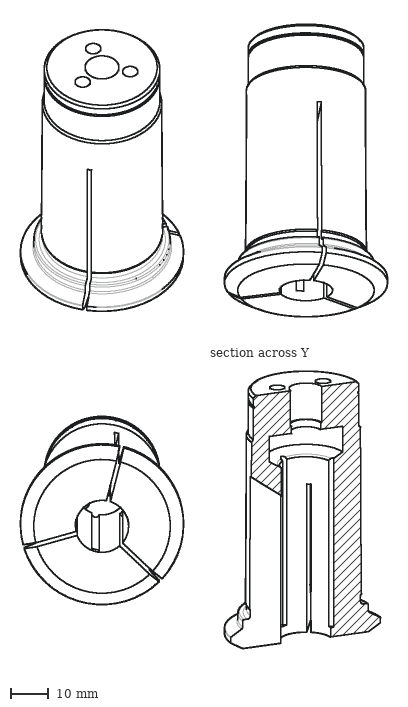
import cadquery as cq
import math

TOTAL_HEIGHT = 70.0
FLANGE_RADIUS = 21.5
COLLAR_RADIUS = 18.0
NECK_RADIUS = 15.8
BODY_BOTTOM_RADIUS = 16.0
BODY_TOP_RADIUS = 15.75
HEAD_RADIUS = 15.25

FLANGE_CONE_ANGLE = math.radians(30)
FLANGE_CONE_HEIGHT = (FLANGE_RADIUS - COLLAR_RADIUS) * math.tan(FLANGE_CONE_ANGLE)
FLANGE_RIM_TOP = 3.6
FLANGE_RIM_FILLET = 0.2
COLLAR_FOOT = FLANGE_RIM_TOP + FLANGE_CONE_HEIGHT
COLLAR_FOOT_FILLET = 0.6
COLLAR_TOP = 8.0
COLLAR_TOP_FILLET = 0.4
NECK_FOOT_FILLET = 0.85

NECK_TOP = 10.35
BODY_BOTTOM = 10.8
SHOULDER_BOTTOM = 57.15
SHOULDER_HEIGHT = 0.7
TOP_CHAMFER = 0.7
GROOVE_HEIGHT = 66.9
GROOVE_DEPTH = 0.3

EDGE_SLACK = 0.01

STOP_HOLE_RADIUS = 8.92 / 2
STOP_HOLE_END_RADIUS = 4.15
STOP_HOLE_STEP = 60.0
CHAMBER_RADIUS = 10.5
CHAMBER_TOP = 58.0
CHAMBER_FLOOR_EDGE = 51.0
CHAMBER_FLOOR_ANGLE = math.radians(30)
CLAMP_BORE_RADIUS = 7.0
CLAMP_BORE_CHAMFER = 0.6

COOLANT_HOLE_DIAMETER = 4.0
COOLANT_CIRCLE_RADIUS = 7.6
COOLANT_ANGLES = (30, 150, 270)

SLOT_ANGLES = (60, 180, 300)
SLOT_WIDTH = 1.1
SLOT_TOP = 47.6
SLOT_OVERRUN = 1.0
SLOT_RAMP_ANGLE = math.radians(36)

GROOVE_ANGLES = (0, 120, 240)
BORE_GROOVE_RADIUS = 1.0
BORE_GROOVE_BOTTOM = 2.75


def turned_outside():
    """Outside of the sleeve as a revolved profile, with its turned edges rounded."""
    points = [
        (0, 0),
        (COLLAR_RADIUS, 0),
        (FLANGE_RADIUS, FLANGE_CONE_HEIGHT),
        (FLANGE_RADIUS, FLANGE_RIM_TOP),
        (COLLAR_RADIUS, COLLAR_FOOT),
        (COLLAR_RADIUS, COLLAR_TOP),
        (NECK_RADIUS, COLLAR_TOP),
        (NECK_RADIUS, NECK_TOP),
        (BODY_BOTTOM_RADIUS, BODY_BOTTOM),
        (BODY_TOP_RADIUS, SHOULDER_BOTTOM),
        (HEAD_RADIUS, SHOULDER_BOTTOM + SHOULDER_HEIGHT),
        (HEAD_RADIUS, GROOVE_HEIGHT - GROOVE_DEPTH),
        (HEAD_RADIUS - GROOVE_DEPTH, GROOVE_HEIGHT),
        (HEAD_RADIUS, GROOVE_HEIGHT + GROOVE_DEPTH),
        (HEAD_RADIUS, TOTAL_HEIGHT - TOP_CHAMFER),
        (HEAD_RADIUS - TOP_CHAMFER, TOTAL_HEIGHT),
        (0, TOTAL_HEIGHT),
    ]
    body = cq.Workplane("XZ").polyline(points).close().revolve(360, (0, 0), (0, 1))
    fillets = [
        (FLANGE_RADIUS, FLANGE_RIM_TOP, FLANGE_RIM_FILLET),
        (COLLAR_RADIUS, COLLAR_FOOT, COLLAR_FOOT_FILLET),
        (COLLAR_RADIUS, COLLAR_TOP, COLLAR_TOP_FILLET),
        (NECK_RADIUS, COLLAR_TOP, NECK_FOOT_FILLET),
    ]
    for edge_radius, height, fillet_radius in fillets:
        body = body.edges(circle_near(edge_radius, height)).fillet(fillet_radius)
    return body


def circle_near(radius, height):
    """Selector of the circular edge with this radius and height about the sleeve axis."""
    outer = radius + EDGE_SLACK
    inner = radius - EDGE_SLACK
    bottom = height - EDGE_SLACK
    top = height + EDGE_SLACK
    up_to_radius = cq.selectors.BoxSelector((-outer, -outer, bottom), (outer, outer, top), boundingbox=True)
    smaller = cq.selectors.BoxSelector((-inner, -inner, bottom), (inner, inner, top), boundingbox=True)
    return up_to_radius - smaller


def turned_inside():
    """Clamping bore, chamber and stop-screw hole as one revolved cutter."""
    chamfer_radius = CLAMP_BORE_RADIUS + CLAMP_BORE_CHAMFER
    floor_rise = (CHAMBER_RADIUS - chamfer_radius) * math.tan(CHAMBER_FLOOR_ANGLE)
    chamfer_top = CHAMBER_FLOOR_EDGE - floor_rise
    points = [
        (0, 0),
        (CLAMP_BORE_RADIUS, 0),
        (CLAMP_BORE_RADIUS, chamfer_top - CLAMP_BORE_CHAMFER),
        (chamfer_radius, chamfer_top),
        (CHAMBER_RADIUS, CHAMBER_FLOOR_EDGE),
        (CHAMBER_RADIUS, CHAMBER_TOP),
        (STOP_HOLE_END_RADIUS, CHAMBER_TOP),
        (STOP_HOLE_END_RADIUS, STOP_HOLE_STEP),
        (STOP_HOLE_RADIUS, STOP_HOLE_STEP),
        (STOP_HOLE_RADIUS, TOTAL_HEIGHT),
        (0, TOTAL_HEIGHT),
    ]
    return cq.Workplane("XZ").polyline(points).close().revolve(360, (0, 0), (0, 1))


def coolant_hole(angle):
    """Straight hole from the top face into the chamber."""
    return (
        cq.Workplane("XY", origin=(0, 0, CHAMBER_TOP))
        .center(COOLANT_CIRCLE_RADIUS, 0)
        .circle(COOLANT_HOLE_DIAMETER / 2)
        .extrude(TOTAL_HEIGHT - CHAMBER_TOP)
        .rotate((0, 0, 0), (0, 0, 1), angle)
    )


def slot(angle):
    """Radial slot into the clamping bore, open at the bottom and ramping out at its upper end."""
    outside = FLANGE_RADIUS + SLOT_OVERRUN
    inside = CLAMP_BORE_RADIUS / 2
    ramp_rise = (BODY_BOTTOM_RADIUS - inside) * math.tan(SLOT_RAMP_ANGLE)
    return (
        cq.Workplane("XZ")
        .polyline([
            (inside, 0),
            (inside, SLOT_TOP - ramp_rise),
            (BODY_BOTTOM_RADIUS, SLOT_TOP),
            (outside, SLOT_TOP),
            (outside, 0),
        ])
        .close()
        .extrude(SLOT_WIDTH / 2, both=True)
        .rotate((0, 0, 0), (0, 0, 1), angle)
    )


def bore_groove(angle):
    """Half-round groove along the clamping bore, stopping short of the bottom face."""
    return (
        cq.Workplane("XY", origin=(0, 0, BORE_GROOVE_BOTTOM))
        .center(CLAMP_BORE_RADIUS, 0)
        .circle(BORE_GROOVE_RADIUS)
        .extrude(CHAMBER_FLOOR_EDGE - BORE_GROOVE_BOTTOM)
        .rotate((0, 0, 0), (0, 0, 1), angle)
    )


result = turned_outside().cut(turned_inside())
for coolant_angle in COOLANT_ANGLES:
    result = result.cut(coolant_hole(coolant_angle))
for slot_angle in SLOT_ANGLES:
    result = result.cut(slot(slot_angle))
for groove_angle in GROOVE_ANGLES:
    result = result.cut(bore_groove(groove_angle))